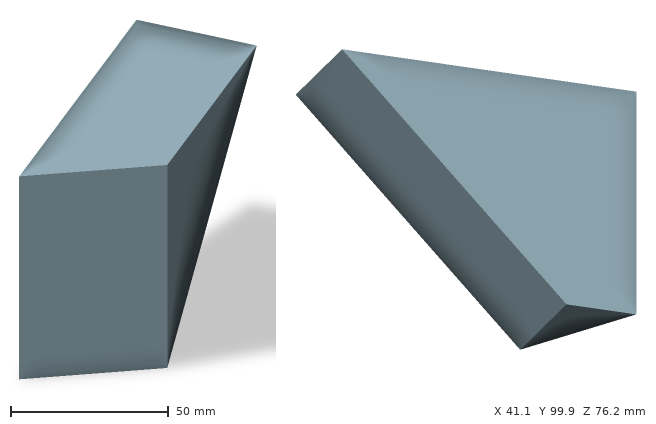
import cadquery as cq
import math

length = 99.9
width = 41.1
front_angle = 30.0

front_setback = width * math.tan(math.radians(front_angle))
height = length - front_setback


def front_slanted_block():
    """Upright block whose front face recedes toward +X."""
    outline = [(0, 0), (width, front_setback), (width, length), (0, length)]
    return cq.Workplane("XY").polyline(outline).close().extrude(height)


def sloped_side_profile():
    """Prism along X whose back face slopes in toward the bottom."""
    outline = [(0, 0), (front_setback, 0), (length, height), (0, height)]
    return cq.Workplane("YZ").polyline(outline).close().extrude(width)


result = front_slanted_block().intersect(sloped_side_profile())